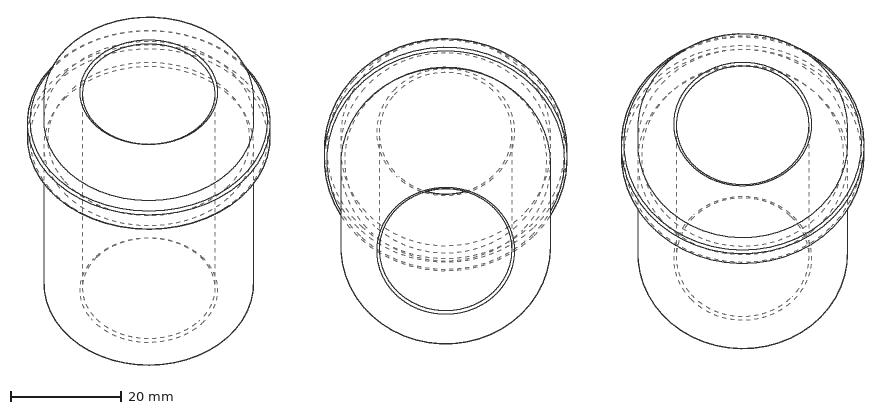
import cadquery as cq

height = 55.0
body_radius = 38.0 / 2
bore_radius = 24.0 / 2
bore_chamfer = 0.5
end_rounding = 2.0

collar_radius = 44.0 / 2
collar_thickness = 5.0
collar_chamfer = 0.5
head_height = 8.0

relief_height = 2.0
relief_depth = 0.7

collar_top = height - head_height
collar_bottom = collar_top - collar_thickness
relief_bottom = collar_bottom - relief_height


def make_body():
    """Round shank with both outer ends rounded."""
    body = cq.Workplane("XY").circle(body_radius).extrude(height)
    return body.edges().fillet(end_rounding)


def make_relief():
    """Ring that tapers the shank inward toward the collar."""
    return (
        cq.Workplane("XZ")
        .moveTo(body_radius, relief_bottom)
        .lineTo(body_radius, collar_bottom)
        .lineTo(body_radius - relief_depth, collar_bottom)
        .close()
        .revolve(360, (0, 0, 0), (0, 1, 0))
    )


def make_collar():
    """Locating collar with both rims chamfered."""
    collar = cq.Workplane("XY").workplane(offset=collar_bottom)
    collar = collar.circle(collar_radius).extrude(collar_thickness)
    return collar.edges().chamfer(collar_chamfer)


def make_bore():
    """Through bore, flared by a chamfer at each end."""
    bore = cq.Workplane("XY").circle(bore_radius).extrude(height)
    mouth_radius = bore_radius + bore_chamfer
    lower_flare = cq.Workplane("XY").add(
        cq.Solid.makeCone(mouth_radius, bore_radius, bore_chamfer)
    )
    upper_flare = lower_flare.mirror("XY").translate((0, 0, height))
    return bore.union(lower_flare).union(upper_flare)


result = make_body().cut(make_relief()).union(make_collar()).cut(make_bore())